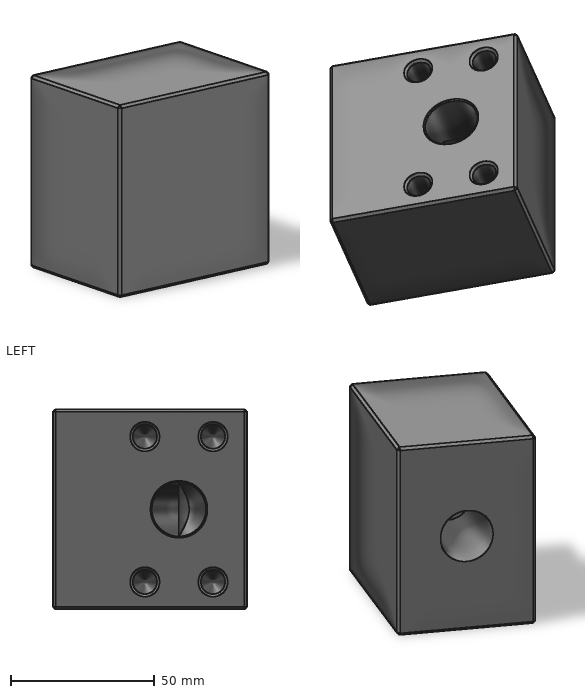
import cadquery as cq
import math

length_x = 50.0
width_y = 68.0
height_z = 70.0
edge_chamfer = 1.0

bore_diameter = 19.0
bore_mouth_diameter = 19.95
elbow_x = length_x / 2
elbow_y = 23.9
elbow_z = height_z / 2

bolt_diameter = 8.5
bolt_mouth_diameter = 10.3
bolt_depth = 20.0
bolt_spacing_y = 23.8
bolt_spacing_z = 50.8

drill_point_angle = 118.0


def drilled_hole(diameter, mouth_diameter, depth):
    """Hole along +Z from the origin, with a 45 degree mouth and a conical tip past its depth."""
    radius = diameter / 2
    mouth_radius = mouth_diameter / 2
    tip_length = radius / math.tan(math.radians(drill_point_angle / 2))
    profile = cq.Workplane("XZ").moveTo(0, 0).lineTo(mouth_radius, 0)
    if mouth_radius > radius:
        profile = profile.lineTo(radius, mouth_radius - radius)
    profile = profile.lineTo(radius, depth).lineTo(0, depth + tip_length).close()
    return profile.revolve(360, (0, 0, 0), (0, 1, 0))


def hole_from_left(hole, y, z):
    """Turn a hole to run along +X from the -X face."""
    return hole.rotate((0, 0, 0), (0, 1, 0), 90).translate((0, y, z))


def hole_from_back(hole, x, z):
    """Turn a hole to run along -Y from the +Y face."""
    return hole.rotate((0, 0, 0), (1, 0, 0), 90).translate((x, width_y, z))


block = cq.Workplane("XY").box(length_x, width_y, height_z, centered=False)
block = block.edges().chamfer(edge_chamfer)

left_bore = drilled_hole(bore_diameter, bore_mouth_diameter, elbow_x)
back_bore = drilled_hole(bore_diameter, bore_diameter, width_y - elbow_y)
result = block.cut(hole_from_left(left_bore, elbow_y, elbow_z))
result = result.cut(hole_from_back(back_bore, elbow_x, elbow_z))

bolt_hole = drilled_hole(bolt_diameter, bolt_mouth_diameter, bolt_depth)
for side_y in (-1, 1):
    for side_z in (-1, 1):
        bolt_y = elbow_y + side_y * bolt_spacing_y / 2
        bolt_z = elbow_z + side_z * bolt_spacing_z / 2
        result = result.cut(hole_from_left(bolt_hole, bolt_y, bolt_z))